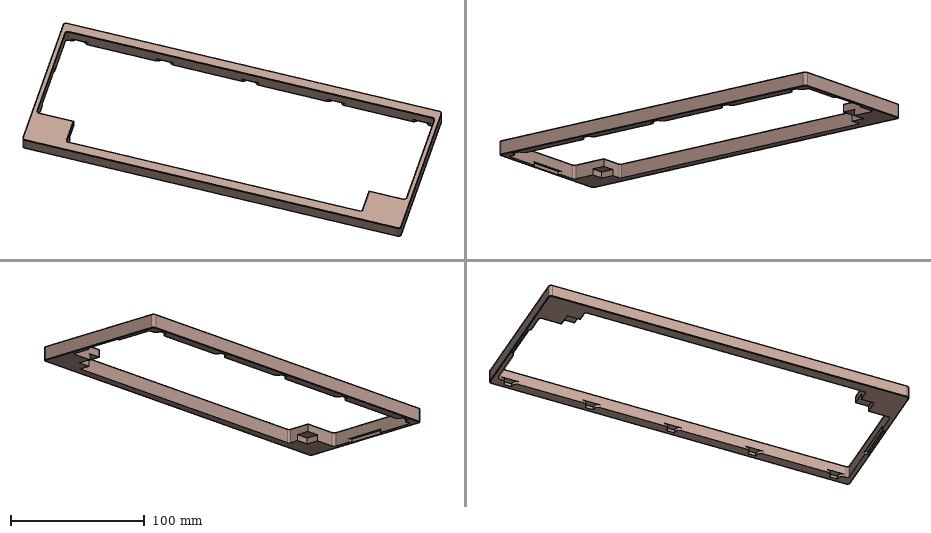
import cadquery as cq

length = 294.8
width = 112.3
height = 11.0
corner_radius = 2.5
edge_chamfer = 0.45

side_wall = 3.8
bar_width = 7.7
block_length = 32.5
block_width = 27.0
opening_radius = 2.0
block_corner_radius = 1.5

notch_height = 2.7
mouth_radius = 3.8
back_notch_count = 5
back_notch_pitch = 66.5
back_notch_width = 14.0
back_notch_depth = 4.5
side_notch_width = 33.3
side_notch_center = 2.5
side_notch_depth = 2.0
side_mouth_radius = 1.62

relief_size = 10.5
relief_height = 4.7

opening_half_length = length / 2 - side_wall
opening_half_width = width / 2 - bar_width
block_inner_x = length / 2 - block_length
block_back_y = block_width - width / 2


def make_frame():
    """Rounded plate with a T-shaped opening that leaves a block in each front corner.

    The outer edges are chamfered at the bottom and all edges are chamfered at the top.
    """
    plate = cq.Workplane("XY").box(length, width, height, centered=(True, True, False))
    plate = plate.edges("|Z").fillet(corner_radius)

    wide_part = (
        cq.Workplane("XY")
        .moveTo(-opening_half_length, block_back_y)
        .lineTo(-opening_half_length, opening_half_width)
        .lineTo(opening_half_length, opening_half_width)
        .lineTo(opening_half_length, block_back_y)
        .close()
        .extrude(height)
        .edges("|Z")
        .fillet(opening_radius)
    )
    narrow_part = (
        cq.Workplane("XY")
        .rect(2 * block_inner_x, 2 * opening_half_width)
        .extrude(height)
        .edges("|Z")
        .fillet(block_corner_radius)
    )
    plate = plate.faces("<Z").edges().chamfer(edge_chamfer)
    frame = plate.cut(wide_part).cut(narrow_part)
    return frame.faces(">Z").edges().chamfer(edge_chamfer)


def make_notch(mouth_width, depth, radius):
    """Notch cutter: the mouth lies on the X axis, flares with convex rounds and runs toward +Y."""
    half_mouth = mouth_width / 2
    half_neck = half_mouth - radius
    return (
        cq.Workplane("XY")
        .moveTo(-half_mouth, 0)
        .radiusArc((-half_neck, radius), -radius)
        .lineTo(-half_neck, depth)
        .lineTo(half_neck, depth)
        .lineTo(half_neck, radius)
        .radiusArc((half_mouth, 0), -radius)
        .close()
        .extrude(notch_height)
    )


result = make_frame()

back_notch = make_notch(back_notch_width, back_notch_depth, mouth_radius)
for index in range(back_notch_count):
    notch_x = (index - (back_notch_count - 1) / 2) * back_notch_pitch
    result = result.cut(back_notch.translate((notch_x, opening_half_width, 0)))

side_notch = make_notch(side_notch_width, side_notch_depth, side_mouth_radius)
relief = cq.Workplane("XY").box(relief_size, relief_size, relief_height, centered=(True, True, False))
relief_y = block_back_y - relief_size / 2
for side in (-1, 1):
    turned_notch = side_notch.rotate((0, 0, 0), (0, 0, 1), -90 * side)
    result = result.cut(turned_notch.translate((side * opening_half_length, side_notch_center, 0)))

    relief_x = side * (block_inner_x + relief_size / 2)
    result = result.cut(relief.translate((relief_x, relief_y, 0)))